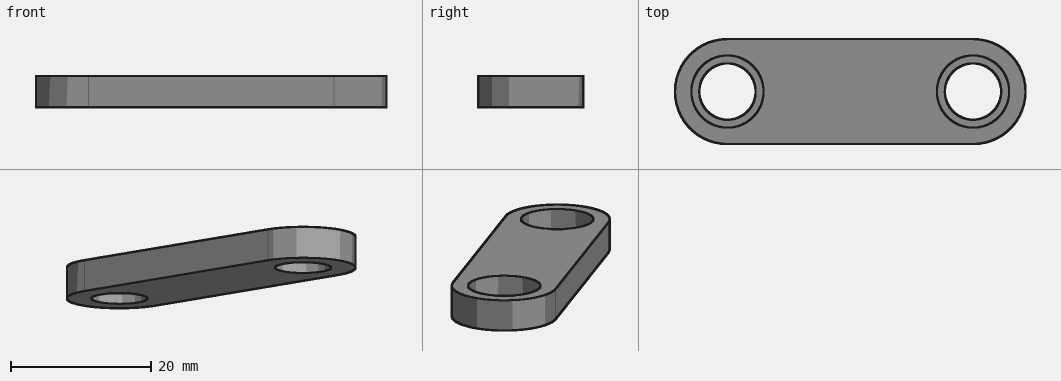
import cadquery as cq

length = 50.0
width = 15.0
thickness = 4.5

hole_spacing = length - width
hole_diameter = 8.0
counterbore_diameter = 10.3
counterbore_depth = 3.0


def make_plate():
    """Flat bar with fully rounded ends, standing on Z = 0."""
    return cq.Workplane("XY").slot2D(length, width).extrude(thickness)


def cut_counterbored_holes(plate):
    """Cut one through hole at each end, counterbored from the top face."""
    hole_centers = [(-hole_spacing / 2, 0), (hole_spacing / 2, 0)]
    return (
        plate.faces(">Z")
        .workplane(origin=(0, 0, thickness))
        .pushPoints(hole_centers)
        .cboreHole(hole_diameter, counterbore_diameter, counterbore_depth)
    )


result = cut_counterbored_holes(make_plate())